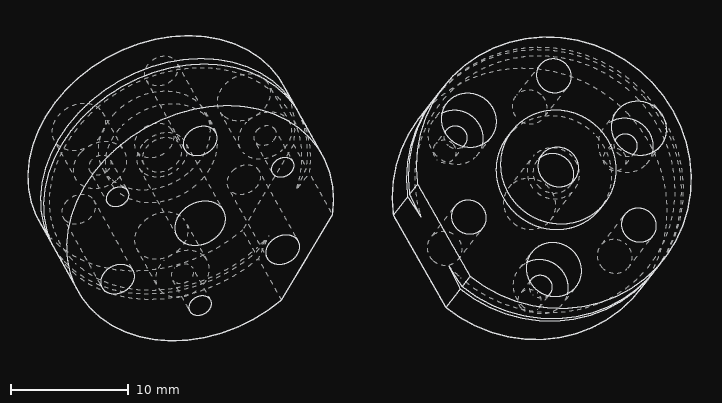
import cadquery as cq
import math

disc_diameter = 23.8
disc_width = 11.0
boss_diameter = 10.0
boss_height = 2.0
bore_diameter = 3.5

back_bore_diameter = 4.5
back_bore_start = 0.24

groove_start = 3.62
groove_width = 0.85
groove_depth = 0.65

flat_distance = 11.0
flat_angle = -30.0

hole_circle_radius = 8.5
plain_hole_diameter = 3.0
screw_hole_diameter = 2.0
counterbore_diameter = 4.75
counterbore_depth = 6.0
plain_hole_angles = (90.0, 210.0, 330.0)
screw_hole_angles = (30.0, 150.0, 270.0)

disc_radius = disc_diameter / 2
boss_radius = boss_diameter / 2


def rod(diameter, start, end, center=(0, 0)):
    """Cylinder along X between two X positions, centered at (Y, Z)."""
    profile = cq.Workplane("YZ", origin=(start, 0, 0)).center(*center).circle(diameter / 2)
    return profile.extrude(end - start)


def on_hole_circle(angle):
    """(Y, Z) place on the hole circle, with the angle measured from +Y toward +Z."""
    turn = math.radians(angle)
    return hole_circle_radius * math.cos(turn), hole_circle_radius * math.sin(turn)


def turned_body():
    """Disc with its front face at X = 0, grooved rim and a boss toward -X."""
    profile = [
        (-boss_height, 0),
        (-boss_height, boss_radius),
        (0, boss_radius),
        (0, disc_radius),
        (groove_start, disc_radius),
        (groove_start + groove_width / 2, disc_radius - groove_depth),
        (groove_start + groove_width, disc_radius),
        (disc_width, disc_radius),
        (disc_width, 0),
    ]
    return cq.Workplane("XY").polyline(profile).close().revolve(360, (0, 0, 0), (1, 0, 0))


def flat_cutter():
    """Block outside the flat, turned about X to face the flat's direction."""
    block = cq.Workplane("XY").box(disc_width, disc_radius, disc_diameter, centered=(False, False, True))
    return block.translate((0, flat_distance, 0)).rotate((0, 0, 0), (1, 0, 0), flat_angle)


result = turned_body().cut(flat_cutter())
result = result.cut(rod(bore_diameter, -boss_height, disc_width))
result = result.cut(rod(back_bore_diameter, back_bore_start, disc_width))

for angle in plain_hole_angles:
    result = result.cut(rod(plain_hole_diameter, 0, disc_width, on_hole_circle(angle)))

for angle in screw_hole_angles:
    center = on_hole_circle(angle)
    result = result.cut(rod(screw_hole_diameter, 0, disc_width, center))
    result = result.cut(rod(counterbore_diameter, 0, counterbore_depth, center))